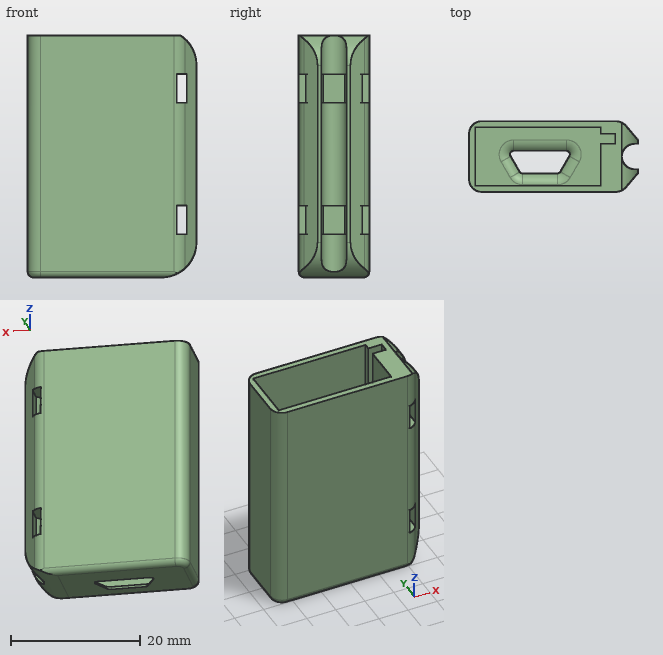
import cadquery as cq
import math

length = 26.2
width = 11.0
height = 37.5

body_end = 23.7
corner_radius = 2.0
shoulder_radius = 2.2
bottom_radius = 1.0
wall = 1.0
floor = 1.0
cavity_end = 20.4

notch_end = 22.7
notch_y_min = 2.0
notch_width = 1.5

lip_half_width = 2.55
groove_radius = 1.95
end_radius = 5.5

slot_x_min = 23.15
slot_width = 1.5
slot_height = 4.4
slot_z_mins = (6.75, 27.1)

window_center_x = 11.0
window_top_y = 2.6
window_long_side = 16.0
window_short_side = 8.0
window_side_angle = 60.0
window_corner_radius = 2.25
flare_radius = 2.0


def box(x_min, y_min, z_min, x_size, y_size, z_size):
    """Box placed by its lowest corner."""
    return cq.Workplane("XY").box(x_size, y_size, z_size, centered=False).translate((x_min, y_min, z_min))


def rounded_block():
    """Block with rounded left corners and rounded lower edges, square at the lip end."""
    block = box(0, -width / 2, 0, length, width, height)
    block = block.edges("|Z and <X").fillet(corner_radius)
    return block.faces("<Z").edges("not >X").fillet(bottom_radius)


def tapered_plan():
    """Prism of the plan outline, narrowing from the body end to the lip tips."""
    outline = [
        (0, -width / 2),
        (body_end, -width / 2),
        (length, -lip_half_width),
        (length, lip_half_width),
        (body_end, width / 2),
        (0, width / 2),
    ]
    prism = cq.Workplane("XY").polyline(outline).close().extrude(height)
    shoulder = cq.selectors.BoxSelector((body_end - wall, -width, 0), (body_end + wall, width, height))
    return prism.edges("|Z").edges(shoulder).fillet(shoulder_radius)


def side_profile():
    """Prism of the XZ outline; the lower arc is tangent to the bottom, the upper one meets the top at an angle."""
    arc_center_x = length - end_radius
    upper_rise = math.sqrt(end_radius**2 - (body_end - arc_center_x) ** 2)
    return (
        cq.Workplane("XZ")
        .lineTo(arc_center_x, 0)
        .radiusArc((length, end_radius), -end_radius)
        .lineTo(length, height - upper_rise)
        .radiusArc((body_end, height), -end_radius)
        .lineTo(0, height)
        .close()
        .extrude(width / 2, both=True)
    )


def cavity():
    """Main pocket and the notch beside it, open at the top."""
    depth = height - floor
    pocket = box(wall, wall - width / 2, floor, cavity_end - wall, width - 2 * wall, depth)
    notch = box(cavity_end, notch_y_min, floor, notch_end - cavity_end, notch_width, depth)
    return pocket.union(notch)


def groove():
    """Full-height groove with a round root, open at the lip tips."""
    center_x = body_end + groove_radius
    root = cq.Workplane("XY").center(center_x, 0).circle(groove_radius).extrude(height)
    mouth = box(center_x, -groove_radius, 0, groove_radius, 2 * groove_radius, height)
    return root.union(mouth)


def window():
    """Flared trapezoid: the void left in the floor by a thicker plate whose opening has a rounded rim."""
    angle = math.radians(window_side_angle)
    side_run = (window_long_side - window_short_side) / 2
    throat_half_long = window_long_side / 2 - flare_radius / math.tan(angle / 2)
    throat_half_short = window_short_side / 2 - flare_radius * math.tan(angle / 2)
    throat_top = window_top_y - flare_radius
    throat_bottom = window_top_y - side_run * math.tan(angle) + flare_radius
    outline = [
        (window_center_x - throat_half_long, throat_top),
        (window_center_x + throat_half_long, throat_top),
        (window_center_x + throat_half_short, throat_bottom),
        (window_center_x - throat_half_short, throat_bottom),
    ]
    plate_depth = 2 * flare_radius
    throat = cq.Workplane("XY").polyline(outline).close().extrude(plate_depth)
    throat = throat.edges("|Z").fillet(window_corner_radius - flare_radius)
    throat = throat.translate((0, 0, floor - plate_depth))
    plate = box(0, -width / 2, floor - plate_depth, length, width, plate_depth).cut(throat)
    shortest_loop = cq.selectors.LengthNthSelector(0)
    plate = plate.faces(">Z").wires(shortest_loop).edges().fillet(flare_radius)
    return box(0, -width / 2, 0, length, width, floor).cut(plate)


result = rounded_block().intersect(tapered_plan()).intersect(side_profile())
result = result.cut(cavity()).cut(groove())
for slot_z_min in slot_z_mins:
    result = result.cut(box(slot_x_min, -width / 2, slot_z_min, slot_width, width, slot_height))
result = result.cut(window())